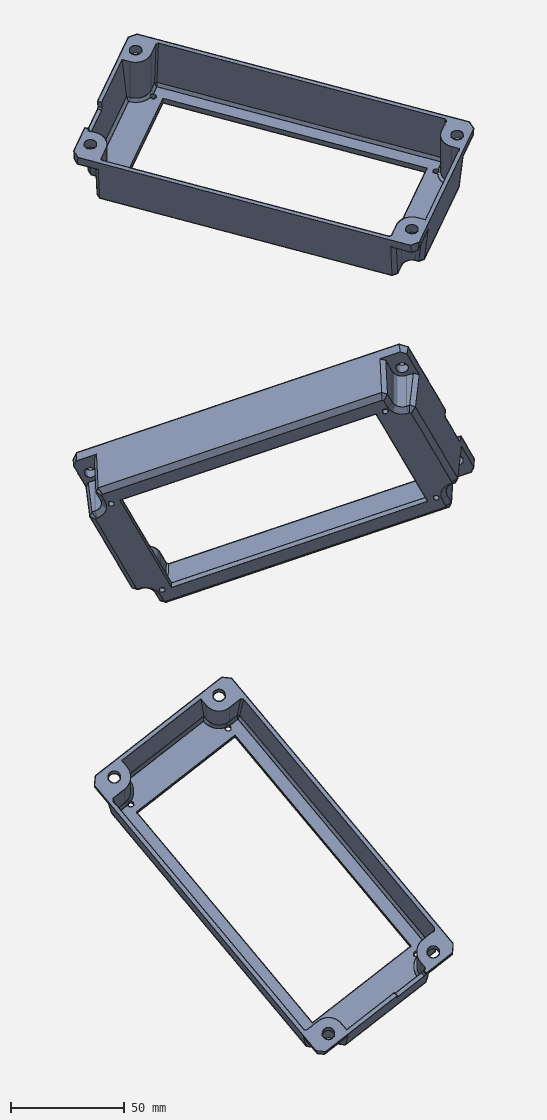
import cadquery as cq
import math

LENGTH = 162.0
WIDTH = 78.0
HEIGHT = 28.0
DRAFT_ANGLE = 5.0
CORNER_CHAMFER = 3.0
BASE_CHAMFER = 2.3

RIM_WALL = 2.0
FLOOR_THICKNESS = 3.0
CAVITY_BASE_CHAMFER = 1.3
CAVITY_CORNER_CHAMFER = 0.8

SCREW_INSET_X = 5.7
SCREW_INSET_Y = 9.2
SCREW_HOLE_DIAMETER = 5.5
BOSS_RADIUS = 7.3
RECESS_RADIUS = 4.9
RECESS_MOUTH_CHAMFER = 2.0
FLANGE_THICKNESS = 5.0

WINDOW_LENGTH = 123.8
WINDOW_WIDTH = 55.9
PILOT_INSET_X = 14.7
PILOT_INSET_Y = 11.3
PILOT_DIAMETER = 2.6

NOTCH_WIDTH = 16.5
NOTCH_DEPTH = 4.0
NOTCH_CENTRE_Y = -13.0
NOTCH_CORNER_CHAMFER = 0.8

FLANGE_BOTTOM = HEIGHT - FLANGE_THICKNESS
SCREW_X = LENGTH / 2 - SCREW_INSET_X
SCREW_Y = WIDTH / 2 - SCREW_INSET_Y


def corner_points(x, y):
    return [(sx * x, sy * y) for sx in (-1, 1) for sy in (-1, 1)]


def drafted_block(length, width, bottom):
    """Block hanging from the rim plane, shrinking downwards by the draft angle."""
    return (
        cq.Workplane("XY", origin=(0, 0, HEIGHT))
        .rect(length, width)
        .extrude(bottom - HEIGHT, taper=DRAFT_ANGLE)
    )


def corner_columns(radius, bottom, top):
    """Square columns over the four corners, rounded about the screw axes on the inward side."""
    columns = cq.Workplane("XY")
    for x, y in corner_points(SCREW_X, SCREW_Y):
        side_x = math.copysign(1, x)
        side_y = math.copysign(1, y)
        inner_x = x - side_x * radius
        inner_y = y - side_y * radius
        arc_reach = radius * math.sqrt(0.5)
        outer_x = side_x * LENGTH
        outer_y = side_y * WIDTH
        column = (
            cq.Workplane("XY", origin=(0, 0, bottom))
            .moveTo(outer_x, inner_y)
            .lineTo(x, inner_y)
            .threePointArc((x - side_x * arc_reach, y - side_y * arc_reach), (inner_x, y))
            .lineTo(inner_x, outer_y)
            .lineTo(outer_x, outer_y)
            .close()
            .extrude(top - bottom)
        )
        columns = columns.add(column)
    return columns.combine()


def make_core():
    """Drafted block with the recesses cut full height and their mouths and the base chamfered."""
    core = drafted_block(LENGTH, WIDTH, 0).cut(corner_columns(RECESS_RADIUS, 0, HEIGHT))
    core = core.edges("%LINE and (not #Z) and (not |Z)").chamfer(RECESS_MOUTH_CHAMFER)
    return core.faces("<Z").edges().chamfer(BASE_CHAMFER)


def make_flange():
    """Top layer of the drafted block, bridging the recesses, with vertical corner chamfers."""
    slab = (
        cq.Workplane("XY", origin=(0, 0, FLANGE_BOTTOM))
        .rect(LENGTH, WIDTH)
        .extrude(FLANGE_THICKNESS)
        .edges("|Z")
        .chamfer(CORNER_CHAMFER)
    )
    return drafted_block(LENGTH, WIDTH, FLANGE_BOTTOM).intersect(slab)


def make_cavity():
    """Space inside the walls, leaving the corner bosses standing."""
    cavity = drafted_block(LENGTH - 2 * RIM_WALL, WIDTH - 2 * RIM_WALL, FLOOR_THICKNESS)
    cavity = cavity.cut(corner_columns(BOSS_RADIUS, 0, HEIGHT))
    cavity = cavity.edges("%LINE and #X and (not #Z) and (not |Z)").chamfer(CAVITY_CORNER_CHAMFER)
    return cavity.faces("<Z").edges().chamfer(CAVITY_BASE_CHAMFER)


def make_holes():
    """Floor window, pilot holes and screw holes, all running the full height."""
    window = cq.Workplane("XY").rect(WINDOW_LENGTH, WINDOW_WIDTH).extrude(HEIGHT)
    pilots = (
        cq.Workplane("XY")
        .pushPoints(corner_points(LENGTH / 2 - PILOT_INSET_X, WIDTH / 2 - PILOT_INSET_Y))
        .circle(PILOT_DIAMETER / 2)
        .extrude(HEIGHT)
    )
    screws = (
        cq.Workplane("XY")
        .pushPoints(corner_points(SCREW_X, SCREW_Y))
        .circle(SCREW_HOLE_DIAMETER / 2)
        .extrude(HEIGHT)
    )
    return window.union(pilots).union(screws)


def make_notch():
    """Cutter for the rim notch, reaching two wall thicknesses either side of the -X edge."""
    return (
        cq.Workplane("XY")
        .box(4 * RIM_WALL, NOTCH_WIDTH, NOTCH_DEPTH, centered=(True, True, False))
        .faces("<Z")
        .edges("|X")
        .chamfer(NOTCH_CORNER_CHAMFER)
        .translate((-LENGTH / 2, NOTCH_CENTRE_Y, HEIGHT - NOTCH_DEPTH))
    )


result = make_core().union(make_flange()).cut(make_cavity()).cut(make_holes()).cut(make_notch())